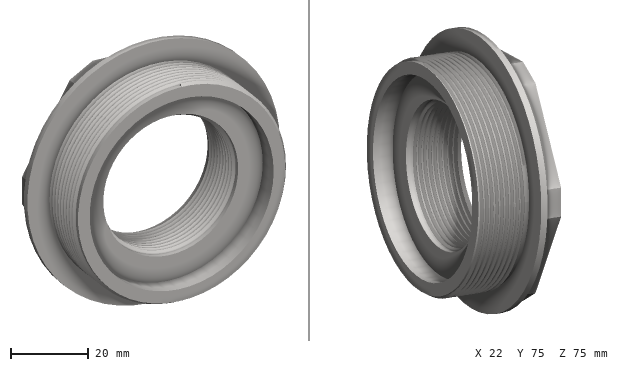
import cadquery as cq
import math

total_length = 22.0
head_length = 5.25
head_across_flats = 64.75
head_across_trimmed_corners = 70.2
flange_diameter = 75.0
flange_thickness = 1.9
barrel_diameter = 61.6
bore_diameter = 40.1
bore_length = 16.2
recess_diameter = 54.7

thread_pitch = 1.5
ridge_width = 1.05
ridge_embed = 0.1
external_ridge_height = 0.75
external_thread_end = 21.4
external_thread_turns = 9.2
internal_ridge_height = 0.8
internal_thread_end = 14.8
internal_thread_turns = 9


def cylinder(start, length, diameter):
    """Solid cylinder along X."""
    return cq.Workplane("YZ").workplane(offset=start).circle(diameter / 2).extrude(length)


def hexagon_prism(across_flats, first_corner_angle):
    """Hexagonal prism of the head length, with a corner at the given angle from Y."""
    corner_diameter = across_flats / math.cos(math.radians(30))
    prism = cq.Workplane("YZ").polygon(6, corner_diameter).extrude(head_length)
    return prism.rotate((0, 0, 0), (1, 0, 0), first_corner_angle)


def thread_ridge(wall_diameter, height, end, turns):
    """Helical ridge on a round wall; a negative height points towards the axis."""
    wall_radius = wall_diameter / 2
    base_radius = wall_radius - math.copysign(ridge_embed, height)
    half_base = ridge_width / 2 * (1 + ridge_embed / abs(height))
    helix = cq.Wire.makeHelix(thread_pitch, turns * thread_pitch, wall_radius)
    profile = [(base_radius, -half_base), (base_radius, half_base), (wall_radius + height, 0)]
    ridge = cq.Workplane("XZ").polyline(profile).close().sweep(cq.Workplane(helix), isFrenet=True)
    ridge = ridge.rotate((0, 0, 0), (0, 1, 0), 90).rotate((0, 0, 0), (1, 0, 0), 180 - 360 * turns)
    return ridge.translate((end - turns * thread_pitch, 0, 0))


head = hexagon_prism(head_across_flats, 0).intersect(hexagon_prism(head_across_trimmed_corners, 30))
flange = cylinder(head_length, flange_thickness, flange_diameter)
barrel = cylinder(head_length, total_length - head_length, barrel_diameter)
bore = cylinder(0, bore_length, bore_diameter)
recess = cylinder(bore_length, total_length - bore_length, recess_diameter)
body = head.union(flange).union(barrel).cut(bore).cut(recess)

external_thread = thread_ridge(
    barrel_diameter, external_ridge_height, external_thread_end, external_thread_turns
)
internal_thread = thread_ridge(
    bore_diameter, -internal_ridge_height, internal_thread_end, internal_thread_turns
)

result = body.union(external_thread).union(internal_thread)